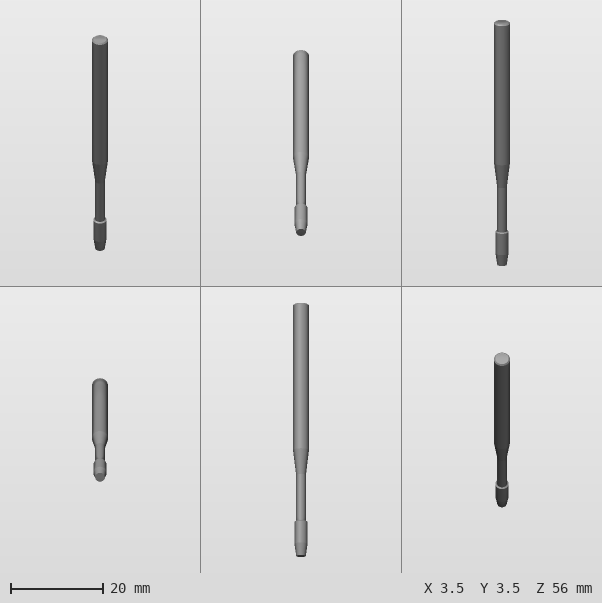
import cadquery as cq

overall_length = 56.0
shank_radius = 3.5 / 2
neck_radius = 2.1 / 2
head_radius = 2.85 / 2
tip_radius = 2.1 / 2

lead_top = 2.7
head_shoulder = 7.6
head_top = 7.8
neck_top = 18.05
taper_top = 23.6

bevel_width = 0.3
bevel_height = 0.3


def turned_body(bottom, outline, top):
    """Revolve an outline of (radius, height) points about the Z axis."""
    profile = [(0, bottom), *outline, (0, top)]
    return cq.Workplane("XZ").polyline(profile).close().revolve(360, (0, 0), (0, 1))


def make_head():
    """Working head: tapered lead, then a cylinder with a shallow conical back shoulder."""
    outline = [
        (tip_radius, 0),
        (head_radius, lead_top),
        (head_radius, head_shoulder),
        (neck_radius, head_top),
    ]
    return turned_body(0, outline, head_top)


def make_shank():
    """Neck standing on the head, widening through a taper into the bevelled shank."""
    outline = [
        (neck_radius, head_top),
        (neck_radius, neck_top),
        (shank_radius, taper_top),
        (shank_radius, overall_length - bevel_height),
        (shank_radius - bevel_width, overall_length),
    ]
    return turned_body(head_top, outline, overall_length)


head = make_head()
shank = make_shank()
result = cq.Compound.makeCompound([head.val(), shank.val()])